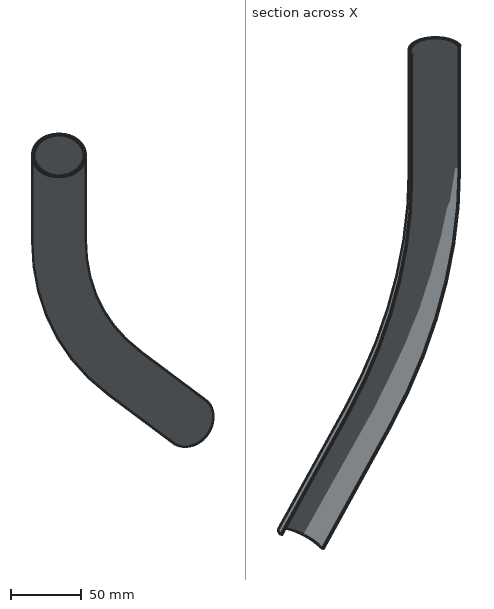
import cadquery as cq
import math

overall_height = 389.5
outer_diameter = 38.0
inner_diameter = 35.0
straight_length = 101.3
bend_angle = math.radians(30)

rim_dip = outer_diameter / 2 * math.sin(bend_angle)
straight_height = straight_length * (1 + math.cos(bend_angle))
bend_radius = (overall_height - straight_height - rim_dip) / math.sin(bend_angle)


def bend_point(angle):
    """Point (Y, Z) on the centreline after turning by angle from the vertical."""
    y = bend_radius * (1 - math.cos(angle))
    z = -straight_length - bend_radius * math.sin(angle)
    return y, z


bend_end_y, bend_end_z = bend_point(bend_angle)
lower_end = (
    bend_end_y + straight_length * math.sin(bend_angle),
    bend_end_z - straight_length * math.cos(bend_angle),
)
centreline = (
    cq.Workplane("YZ")
    .lineTo(0, -straight_length)
    .threePointArc(bend_point(bend_angle / 2), (bend_end_y, bend_end_z))
    .lineTo(*lower_end)
)

result = (
    cq.Workplane("XY")
    .circle(outer_diameter / 2)
    .circle(inner_diameter / 2)
    .sweep(centreline)
)